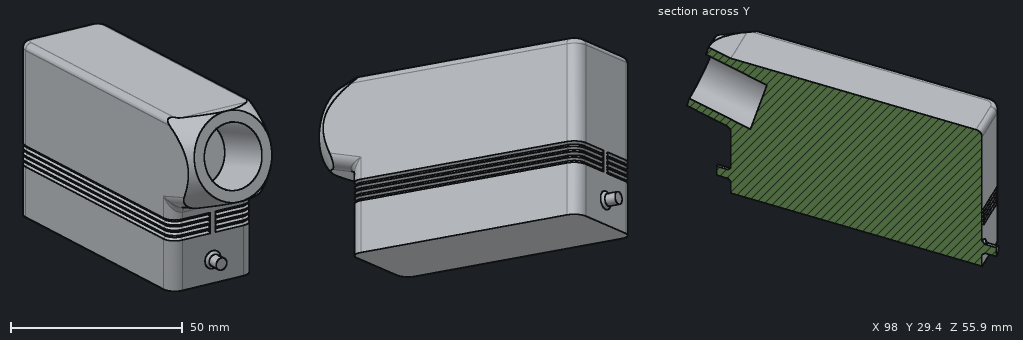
import cadquery as cq
import math

body_length = 79.56
body_width = 29.41
body_height = 54.0
corner_radius = 4.0
top_radius = 2.0

entry_tilt = math.radians(15.0)
entry_diameter = 27.0
entry_top_length = 7.28
entry_cone_angle = math.radians(32.0)
entry_root_radius = 2.0
bore_diameter = 20.0
bore_depth = 20.0

groove_count = 4
groove_pitch = 1.65
groove_width = 1.55
groove_depth = 0.7
groove_band_bottom = 15.75
plain_strip_width = 2.0

pin_diameter = 3.75
pin_length = 4.45
pin_root_size = 0.9
pin_height = 7.4

overlap = 1.0

half_length = body_length / 2
half_width = body_width / 2
entry_radius = entry_diameter / 2

axis_x = math.cos(entry_tilt)
axis_z = math.sin(entry_tilt)
mouth_top = (half_length + entry_top_length * axis_x, body_height + entry_top_length * axis_z)
mouth_center = (mouth_top[0] + entry_radius * axis_z, mouth_top[1] - entry_radius * axis_x)
mouth_bottom = (mouth_top[0] + entry_diameter * axis_z, mouth_top[1] - entry_diameter * axis_x)
mouth_at_body_height = (
    mouth_top[0] + (mouth_top[1] - body_height) * math.tan(entry_tilt),
    body_height,
)
underside_root = (
    half_length,
    mouth_bottom[1] - (mouth_bottom[0] - half_length) * math.tan(entry_tilt),
)

mouth_plane = cq.Plane(
    origin=(mouth_center[0], 0, mouth_center[1]),
    xDir=(0, 1, 0),
    normal=(axis_x, 0, axis_z),
)


def extrude_profile(points):
    """Extrude an outline of (X, Z) points across the full body width."""
    return cq.Workplane("XZ").polyline(points).close().extrude(half_width, both=True)


def make_hood():
    """Body and nozzle below the body top, with all long edges rounded."""
    hood = extrude_profile([
        (-half_length, 0),
        (half_length, 0),
        underside_root,
        mouth_bottom,
        mouth_at_body_height,
        (-half_length, body_height),
    ])
    underside_direction = cq.Vector(axis_x, 0, axis_z)
    hood = hood.edges("|Z").fillet(corner_radius)
    hood = hood.edges(cq.selectors.ParallelDirSelector(underside_direction)).fillet(corner_radius)
    root_edge = cq.selectors.NearestToPointSelector((underside_root[0], 0, underside_root[1]))
    hood = hood.edges("|Y").edges(root_edge).fillet(entry_root_radius)
    return hood.faces(">Z").edges("not(>X)").fillet(top_radius)


def make_nozzle_top():
    """Wedge that carries the nozzle's sloping top above the body top."""
    return extrude_profile([(half_length, body_height), mouth_at_body_height, mouth_top])


def make_mouth_trim():
    """Material outside a cone that narrows from the nozzle's box section to the round mouth."""
    outer_radius = math.hypot(entry_radius, half_width)
    trim_depth = (outer_radius - entry_radius) / math.tan(entry_cone_angle)
    block_size = 2 * (outer_radius + overlap)
    block = (
        cq.Workplane(mouth_plane)
        .center(0, block_size / 2 - entry_radius)
        .rect(block_size, block_size)
        .extrude(-trim_depth)
    )
    cone = (
        cq.Workplane(mouth_plane)
        .circle(entry_radius)
        .workplane(offset=-trim_depth)
        .circle(outer_radius)
        .loft(ruled=True)
    )
    return block.cut(cone)


def make_bore():
    return cq.Workplane(mouth_plane).circle(bore_diameter / 2).extrude(-bore_depth)


def tapered_body_slice(z, height):
    """Slice of the body section from z, narrowing by the groove depth over a signed height."""
    taper = math.degrees(math.atan2(groove_depth, abs(height)))
    section = cq.Sketch().rect(body_length, body_width).vertices().fillet(corner_radius)
    return cq.Workplane("XY", origin=(0, 0, z)).placeSketch(section).extrude(height, taper=taper)


def make_groove(bottom):
    """V-groove ring around the body, left out at the plain strip on each end."""
    base = cq.Workplane("XY", origin=(0, 0, bottom))
    outer_length = body_length + 2 * overlap
    outer_width = body_width + 2 * overlap
    ring = base.rect(outer_length, outer_width).extrude(groove_width)
    strip = base.rect(outer_length, plain_strip_width).extrude(groove_width)
    lower_core = tapered_body_slice(bottom, groove_width / 2)
    upper_core = tapered_body_slice(bottom + groove_width, -groove_width / 2)
    return ring.cut(lower_core).cut(upper_core).cut(strip)


def make_pin():
    """Pin on the +X end, its foot sunk slightly into the body."""
    radius = pin_diameter / 2
    root_radius = radius + pin_root_size
    outline = [
        (-overlap, 0),
        (-overlap, root_radius),
        (0, root_radius),
        (pin_root_size, radius),
        (pin_length, radius),
        (pin_length, 0),
    ]
    pin = cq.Workplane("XY").polyline(outline).close().revolve(360, (0, 0, 0), (1, 0, 0))
    return pin.translate((half_length, 0, pin_height))


result = make_hood().union(make_nozzle_top())
result = result.cut(make_mouth_trim()).cut(make_bore())

for index in range(groove_count):
    result = result.cut(make_groove(groove_band_bottom + index * groove_pitch))

right_pin = make_pin()
result = result.union(right_pin).union(right_pin.mirror("YZ"))